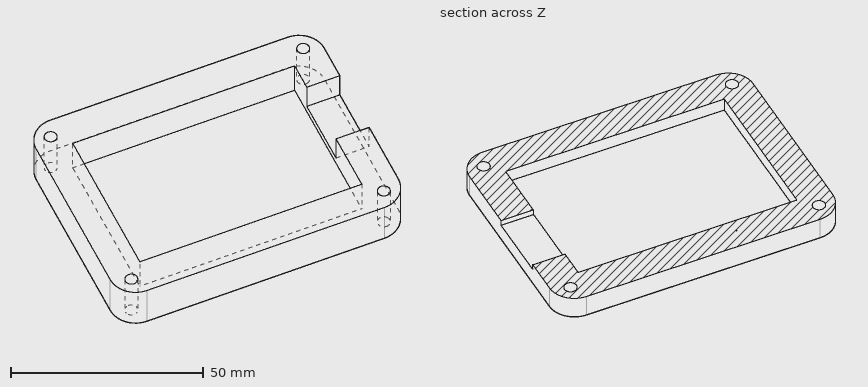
import cadquery as cq

width = 61.8
length = 82.1
height = 13.0
corner_radius = 7.2

wall = 9.45
pocket_depth = 10.3

slot_width = 18.7
slot_center_x = -4.35
slot_depth = 8.05

hole_diameter = 3.4
hole_inset = 5.1


def top_pocket(size_x, size_y, depth, center_x=0, center_y=0):
    """Rectangular cutter reaching down from the top face."""
    return (
        cq.Workplane("XY")
        .box(size_x, size_y, depth, centered=(True, True, False))
        .translate((center_x, center_y, height - depth))
    )


block = (
    cq.Workplane("XY")
    .box(width, length, height, centered=(True, True, False))
    .edges("|Z")
    .fillet(corner_radius)
)

pocket = top_pocket(width - 2 * wall, length - 2 * wall, pocket_depth)
slot = top_pocket(slot_width, wall, slot_depth, slot_center_x, (length - wall) / 2)

holes = (
    cq.Workplane("XY")
    .rect(width - 2 * hole_inset, length - 2 * hole_inset, forConstruction=True)
    .vertices()
    .circle(hole_diameter / 2)
    .extrude(height)
)

result = block.cut(pocket).cut(slot).cut(holes)